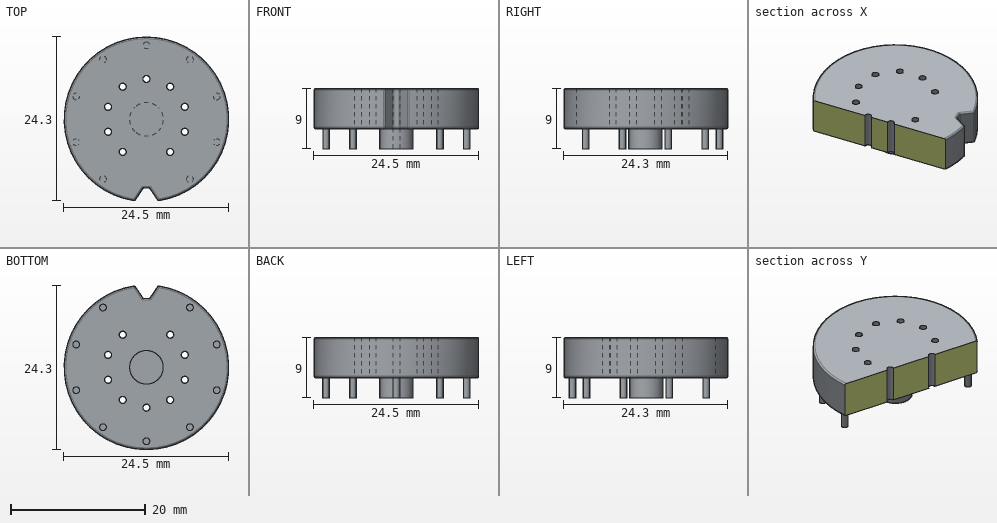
import cadquery as cq
import math

body_diameter = 24.47
body_height = 6.0
edge_fillet = 0.25

notch_floor_distance = 10.23
notch_floor_width = 0.95
notch_wall_angle = 56.0

contact_positions = 10
contact_count = contact_positions - 1
contact_diameter = 1.0
socket_circle_radius = 6.0
pin_circle_radius = 10.99
pin_length = 3.0

post_diameter = 5.0


def contact_points(radius):
    """Contact centres on a circle, leaving the -Y position empty."""
    step = 2 * math.pi / contact_positions
    angles = [-math.pi / 2 + step * i for i in range(1, contact_count + 1)]
    return [(radius * math.cos(a), radius * math.sin(a)) for a in angles]


def make_body():
    """Disc with the keying notch, rounded along every edge."""
    radius = body_diameter / 2
    floor_half = notch_floor_width / 2
    notch_depth = radius - notch_floor_distance
    mouth_half = floor_half + notch_depth / math.tan(math.radians(notch_wall_angle))
    notch = (
        cq.Workplane("XY")
        .polyline([
            (-floor_half, -notch_floor_distance),
            (floor_half, -notch_floor_distance),
            (mouth_half, -radius),
            (-mouth_half, -radius),
        ])
        .close()
        .extrude(body_height)
    )
    body = cq.Workplane("XY").circle(radius).extrude(body_height).cut(notch)

    split_y = -(notch_floor_distance + radius) / 2
    root_edges = cq.selectors.BoxSelector(
        (-mouth_half, split_y, edge_fillet),
        (mouth_half, 0, body_height - edge_fillet),
    )
    body = body.edges(cq.selectors.InverseSelector(root_edges)).fillet(edge_fillet)
    return body.edges(root_edges).fillet(edge_fillet)


def make_pins():
    """Solder pins hanging below the body."""
    return (
        cq.Workplane("XY")
        .pushPoints(contact_points(pin_circle_radius))
        .circle(contact_diameter / 2)
        .extrude(-pin_length)
    )


def make_post():
    """Central post, flush with the pin tips."""
    return cq.Workplane("XY").circle(post_diameter / 2).extrude(-pin_length)


def make_sockets():
    """Contact holes through the full body height."""
    return (
        cq.Workplane("XY")
        .pushPoints(contact_points(socket_circle_radius))
        .circle(contact_diameter / 2)
        .extrude(body_height)
    )


result = make_body().union(make_post()).union(make_pins()).cut(make_sockets())